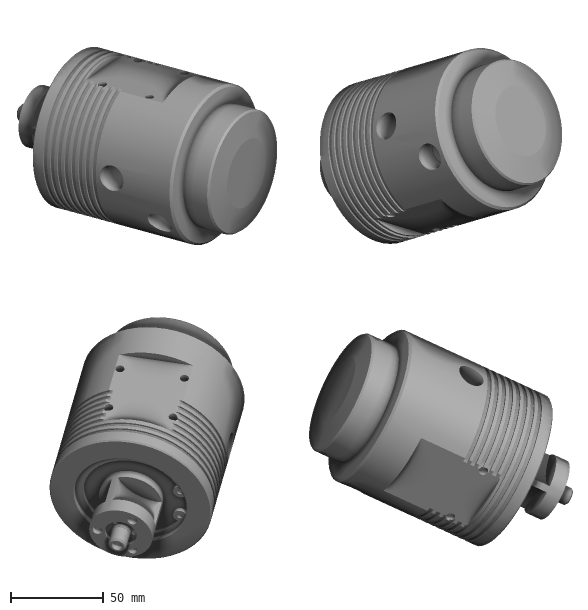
import cadquery as cq
import math


flange_front = 9.7
flange_back = 18.1
body_front = 35.8
body_shoulder = 124.2
cap_start = 126.7
overall_length = 145.1

body_radius = 90.0 / 2
front_chamfer = 0.7
shoulder_chamfer = 1.3
cap_radius = 70.0 / 2
cap_edge_start = 142.0
cap_edge = 0.9
crown_height = 1.9
crown_flat_radius = 19.6

groove_count = 8
groove_start = 43.0
groove_pitch = 4.5
groove_width = 2.5
groove_floor_radius = 88.0 / 2

flat_start = 53.5
flat_end = 104.5
flat_height = 40.0
screw_hole_diameter = 5.0
screw_hole_offset = 17.8
through_hole_x = 64.0
blind_hole_x = 94.0
blind_hole_depth = 8.7
drill_half_angle = 59.0

port_diameter = 15.1
angled_port_bore_diameter = 14.2
cross_port_x = 87.0
angled_port_x = 114.2
angled_port_tilt = 30.0
angled_port_depth = 11.8
angled_port_bore_depth = 3.5

recess_radius = 62.2 / 2
recess_chamfer = 0.5
recess_depth = 2.5
pocket_radius = 55.7 / 2
pocket_offset = -1.3
pocket_depth = 2.3
pad_radius = 8.0 / 2
pad_hole_diameter = 3.2
pad_hole_depth = 4.4
pad_y = -27.0
pad_z = 9.3

threefold_angles = (0, 120, 240)
shaft_radius = 35.0 / 2
scallop_edge_distance = 10.3
scallop_radius = 25.0
pin_radius = 10.0 / 2
pin_chamfer = 1.0
pin_bore_diameter = 6.0
pin_bore_depth = 8.7
pin_collar_radius = 10.5 / 2
flange_recess_radius = 17.5 / 2
flange_recess_depth = 2.2
flange_hole_diameter = 5.5
flange_hole_circle = 12.9
flange_hole_depth = 5.8
small_hole_diameter = 3.0
small_hole_circle = 7.0
small_hole_depth = 4.4


def disc(radius, start, end, y=0.0, z=0.0):
    """Cylinder along X between two stations."""
    return cq.Workplane("YZ", origin=(start, y, z)).circle(radius).extrude(end - start)


def drill(diameter, depth, tip=True):
    """Hole cutter along +X from the origin; a conical tip lies beyond the given depth."""
    radius = diameter / 2
    cutter = disc(radius, 0, depth)
    if tip:
        cone_height = radius / math.tan(math.radians(drill_half_angle))
        cone = cq.Solid.makeCone(radius, 0, cone_height, cq.Vector(depth, 0, 0), cq.Vector(1, 0, 0))
        cutter = cutter.union(cq.Workplane(cone))
    return cutter


def ring_positions(radius, start_angle):
    """Points (y, z) on a circle about the axis, at the three-fold spacing."""
    angles = [math.radians(start_angle + angle) for angle in threefold_angles]
    return [(radius * math.cos(a), radius * math.sin(a)) for a in angles]


def make_housing():
    """Turned body with a tapered shoulder and a low conical crown on the cap."""
    crown_edge = overall_length - crown_height
    cone_rim = body_radius - shoulder_chamfer
    profile = (
        cq.Workplane("XY")
        .moveTo(body_front, 0)
        .lineTo(body_front, body_radius - front_chamfer)
        .lineTo(body_front + front_chamfer, body_radius)
        .lineTo(body_shoulder, body_radius)
        .lineTo(body_shoulder + shoulder_chamfer, cone_rim)
        .lineTo(cap_start, cap_radius)
        .lineTo(cap_edge_start, cap_radius)
        .lineTo(crown_edge, cap_radius - cap_edge)
        .lineTo(overall_length, crown_flat_radius)
        .lineTo(overall_length, 0)
        .close()
    )
    return profile.revolve(360, (0, 0, 0), (1, 0, 0))


def cut_grooves(part):
    """Evenly pitched ring grooves around the body."""
    for i in range(groove_count):
        start = groove_start + i * groove_pitch
        end = start + groove_width
        part = part.cut(disc(2 * body_radius, start, end).cut(disc(groove_floor_radius, start, end)))
    return part


def cut_flats(part):
    """Matching flats on the top and bottom of the body."""
    flat_length = flat_end - flat_start
    cutter_height = body_radius
    for side in (1, -1):
        block = cq.Workplane("XY").box(flat_length, 2 * body_radius, cutter_height)
        z = side * (flat_height + cutter_height / 2)
        part = part.cut(block.translate((flat_start + flat_length / 2, 0, z)))
    return part


def cut_screw_holes(part):
    """Two through holes and two blind holes in the top flat."""
    blind = drill(screw_hole_diameter, blind_hole_depth).rotate((0, 0, 0), (0, 1, 0), 90)
    through = drill(screw_hole_diameter, 2 * flat_height, False).rotate((0, 0, 0), (0, 1, 0), 90)
    for y in (screw_hole_offset, -screw_hole_offset):
        part = part.cut(through.translate((through_hole_x, y, flat_height)))
        part = part.cut(blind.translate((blind_hole_x, y, flat_height)))
    return part


def cut_cross_port(part):
    """Port across Y that stops on the shaft on both sides."""
    port = cq.Workplane("XZ", origin=(cross_port_x, 0, 0)).circle(port_diameter / 2)
    port = port.extrude(body_radius, both=True)
    shaft = disc(shaft_radius, cross_port_x - port_diameter, cross_port_x + port_diameter)
    return part.cut(port.cut(shaft))


def cut_angled_port(part):
    """Radial stepped port below the -Y side."""
    bore = drill(angled_port_bore_diameter, angled_port_bore_depth).translate((angled_port_depth, 0, 0))
    port = drill(port_diameter, angled_port_depth, False).union(bore)
    port = port.rotate((0, 0, 0), (0, 0, 1), 90).translate((angled_port_x, -body_radius, 0))
    return part.cut(port.rotate((0, 0, 0), (1, 0, 0), angled_port_tilt))


def cut_front_recess(part):
    """Round recess with an off-centre pocket in its floor and two drilled pads."""
    ledge = body_front + recess_depth
    floor = ledge + pocket_depth
    chamfer = cq.Solid.makeCone(
        recess_radius + recess_chamfer,
        recess_radius,
        recess_chamfer,
        cq.Vector(body_front, 0, 0),
        cq.Vector(1, 0, 0),
    )
    part = part.cut(disc(recess_radius, body_front, ledge)).cut(cq.Workplane(chamfer))
    pocket = disc(pocket_radius, ledge, floor, pocket_offset)
    bridge = cq.Workplane("XY").box(pocket_depth, recess_radius, 2 * pad_z)
    bridge = bridge.translate(((ledge + floor) / 2, -recess_radius, 0))
    pocket = pocket.union(bridge).intersect(disc(recess_radius, ledge, floor))
    for z in (pad_z, -pad_z):
        pocket = pocket.cut(disc(pad_radius, ledge, floor, pad_y, z))
    part = part.cut(pocket)
    for z in (pad_z, -pad_z):
        part = part.cut(disc(pad_hole_diameter / 2, ledge, ledge + pad_hole_depth, pad_y, z))
    return part


def make_shaft():
    """Flanged shaft with three concave scallops behind the flange and a hollow pin in front."""
    shaft = disc(shaft_radius, flange_front, body_front + recess_depth + pocket_depth)
    half_width = math.sqrt(shaft_radius**2 - scallop_edge_distance**2)
    scallop_y = scallop_edge_distance + math.sqrt(scallop_radius**2 - half_width**2)
    cutter = disc(scallop_radius, flange_back, body_front, scallop_y)
    for angle in threefold_angles:
        shaft = shaft.cut(cutter.rotate((0, 0, 0), (1, 0, 0), angle))
    recess_floor = flange_front + flange_recess_depth
    shaft = shaft.cut(disc(flange_recess_radius, flange_front, recess_floor))
    for y, z in ring_positions(flange_hole_circle, 0):
        hole_end = flange_front + flange_hole_depth
        shaft = shaft.cut(disc(flange_hole_diameter / 2, flange_front, hole_end, y, z))
    for y, z in ring_positions(small_hole_circle, 180):
        hole_end = recess_floor + small_hole_depth
        shaft = shaft.cut(disc(small_hole_diameter / 2, recess_floor, hole_end, y, z))
    pin = disc(pin_radius, 0, recess_floor).faces("<X").chamfer(pin_chamfer)
    collar = disc(pin_collar_radius, flange_front, recess_floor)
    return shaft.union(collar).union(pin).cut(disc(pin_bore_diameter / 2, 0, pin_bore_depth))


housing = cut_grooves(make_housing())
housing = cut_flats(housing)
housing = cut_screw_holes(housing)
housing = cut_cross_port(housing)
housing = cut_angled_port(housing)
housing = cut_front_recess(housing)

result = housing.union(make_shaft())